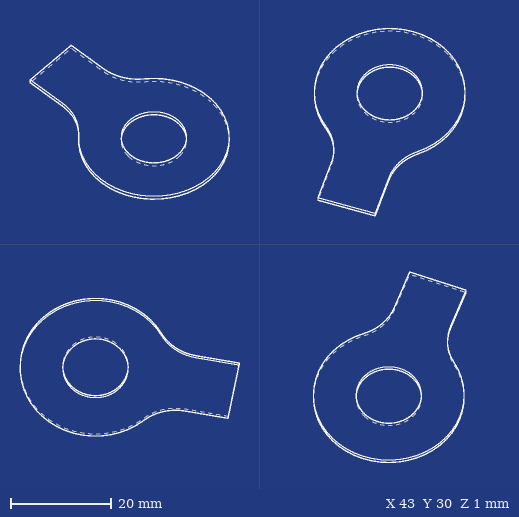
import cadquery as cq
import math

overall_length = 43.0
disc_diameter = 30.0
hole_diameter = 13.0
tab_width = 12.0
blend_radius = 10.0
thickness = 1.0

disc_radius = disc_diameter / 2
half_tab = tab_width / 2
tab_end_x = disc_radius - overall_length

blend_centre_y = half_tab + blend_radius
centre_distance = disc_radius + blend_radius
blend_centre_x = -math.sqrt(centre_distance**2 - blend_centre_y**2)

rim_x = blend_centre_x * disc_radius / centre_distance
rim_y = blend_centre_y * disc_radius / centre_distance

tab_direction = -math.pi / 2
rim_direction = math.atan2(-blend_centre_y, -blend_centre_x)
middle_direction = (tab_direction + rim_direction) / 2
blend_middle_x = blend_centre_x + blend_radius * math.cos(middle_direction)
blend_middle_y = blend_centre_y + blend_radius * math.sin(middle_direction)

blank = (
    cq.Workplane("XY")
    .moveTo(tab_end_x, half_tab)
    .lineTo(blend_centre_x, half_tab)
    .threePointArc((blend_middle_x, blend_middle_y), (rim_x, rim_y))
    .threePointArc((disc_radius, 0), (rim_x, -rim_y))
    .threePointArc((blend_middle_x, -blend_middle_y), (blend_centre_x, -half_tab))
    .lineTo(tab_end_x, -half_tab)
    .close()
    .extrude(thickness)
)

bolt_hole = cq.Workplane("XY").circle(hole_diameter / 2).extrude(thickness)

result = blank.cut(bolt_hole)